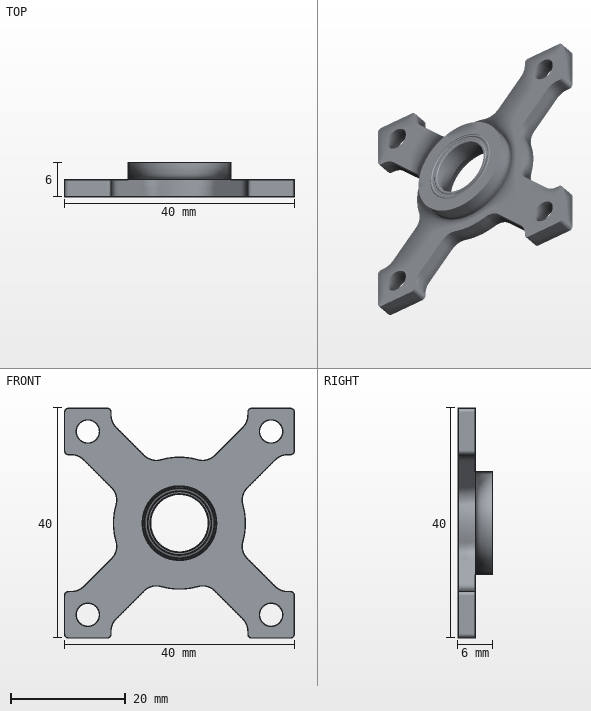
import cadquery as cq
import math

PLATE_SIZE = 40.0
PLATE_THICKNESS = 3.0
PAD_SIZE = 8.1
PAD_CORNER_RADIUS = 0.7
ARM_WIDTH = 8.0
HUB_RADIUS = 11.5
NECK_FILLET = 3.0
HUB_FILLET = 3.0
MOUNT_HOLE_DIAMETER = 4.0
HOLE_SPACING = PLATE_SIZE - PAD_SIZE

OVERALL_DEPTH = 6.0
BOSS_RADIUS = 8.95
BORE_RADIUS = 6.5

BEARING_FRONT = 2.0
SHAFT_RADIUS = 5.0
INNER_RING_RADIUS = 5.6
OUTER_RING_RADIUS = 6.05
RING_CHAMFER = 0.1
INNER_RING_INSET = 0.1
SHIELD_INSET = 0.15

EDGE_TOLERANCE = 0.005
HUB_SEAM_ANGLE = 45.0


def disc(radius, front, depth):
    """Round disc about the Y axis that reaches back from y = front."""
    return cq.Workplane("XZ", origin=(0, front, 0)).circle(radius).extrude(-depth)


def ring(outer_radius, inner_radius, front, width):
    """Plain ring about the Y axis that reaches back from y = front."""
    return disc(outer_radius, front, width).cut(disc(inner_radius, front, width))


def fillet_edges_at(body, distance, radius):
    """Round the edges along Y that lie at the given distance from the central axis."""
    def at_distance(edge):
        centre = edge.Center()
        return abs(math.hypot(centre.x, centre.z) - distance) < EDGE_TOLERANCE

    edges = body.edges("|Y").filter(at_distance)
    return edges.fillet(radius)


def make_cross_plate():
    """Flat plate: hub, two crossed bars and four pads, blended at every corner."""
    bar_length = HOLE_SPACING * math.sqrt(2)
    plate = disc(HUB_RADIUS, 0, PLATE_THICKNESS).rotate((0, 0, 0), (0, 1, 0), HUB_SEAM_ANGLE)
    for angle in (45, 135):
        bar = cq.Workplane("XZ").rect(bar_length, ARM_WIDTH).extrude(-PLATE_THICKNESS)
        plate = plate.union(bar.rotate((0, 0, 0), (0, 1, 0), angle))
    pads = (
        cq.Workplane("XZ")
        .rect(HOLE_SPACING, HOLE_SPACING, forConstruction=True)
        .vertices()
        .rect(PAD_SIZE, PAD_SIZE)
        .extrude(-PLATE_THICKNESS)
    )
    plate = plate.union(pads)

    pad_outside = PLATE_SIZE / 2
    pad_inside = pad_outside - PAD_SIZE
    neck = pad_inside + ARM_WIDTH / math.sqrt(2)
    plate = fillet_edges_at(plate, HUB_RADIUS, HUB_FILLET)
    plate = fillet_edges_at(plate, math.hypot(pad_inside, neck), NECK_FILLET)
    plate = fillet_edges_at(plate, math.hypot(pad_inside, pad_outside), PAD_CORNER_RADIUS)
    return fillet_edges_at(plate, math.hypot(pad_outside, pad_outside), PAD_CORNER_RADIUS)


def make_housing():
    """Cross plate with the rear boss, the bearing bore and the mounting holes."""
    boss = disc(BOSS_RADIUS, PLATE_THICKNESS, OVERALL_DEPTH - PLATE_THICKNESS)
    mount_holes = (
        cq.Workplane("XZ")
        .rect(HOLE_SPACING, HOLE_SPACING, forConstruction=True)
        .vertices()
        .circle(MOUNT_HOLE_DIAMETER / 2)
        .extrude(-PLATE_THICKNESS)
    )
    bore = disc(BORE_RADIUS, 0, OVERALL_DEPTH)
    return make_cross_plate().union(boss).cut(bore).cut(mount_holes)


def bearing_part(outer_radius, inner_radius, inset):
    """Plain bearing ring set back by the same amount from both bearing faces."""
    width = OVERALL_DEPTH - BEARING_FRONT - 2 * inset
    return ring(outer_radius, inner_radius, BEARING_FRONT + inset, width)


def make_bearing_ring(outer_radius, inner_radius, inset):
    """Bearing ring with all four circular edges chamfered."""
    blank = bearing_part(outer_radius, inner_radius, inset)
    return blank.faces("<Y or >Y").edges().chamfer(RING_CHAMFER)


def make_shield():
    """Shield that fills the gap between the two bearing rings."""
    return bearing_part(OUTER_RING_RADIUS, INNER_RING_RADIUS, SHIELD_INSET)


housing = make_housing()
outer_ring = make_bearing_ring(BORE_RADIUS, OUTER_RING_RADIUS, 0)
inner_ring = make_bearing_ring(INNER_RING_RADIUS, SHAFT_RADIUS, INNER_RING_INSET)
shield = make_shield()

result = cq.Compound.makeCompound([housing.val(), outer_ring.val(), inner_ring.val(), shield.val()])